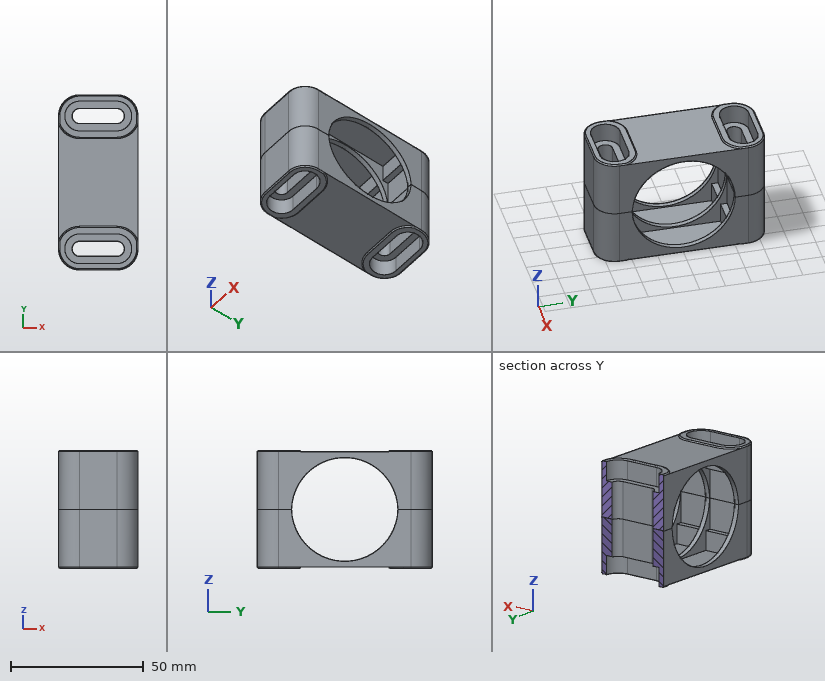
import cadquery as cq

WIDTH = 30.0
LENGTH = 66.0
CORNER_RADIUS = 8.0
HALF_HEIGHT = 21.75

PAD_HEIGHT = 0.5
PAD_BASE_RADIUS = 8.5
PAD_TAPER_ANGLE = 45.0
OUTER_CHAMFER = PAD_HEIGHT

SLOT_Y = LENGTH / 2 - CORNER_RADIUS
STADIUM_SPACING = WIDTH - 2 * CORNER_RADIUS
SLOT_RADIUS = 2.8
RECESS_RADIUS = 5.6
RECESS_DEPTH = 7.5

BORE_RADIUS = 20.0
BORE_SETBACK = 0.5

WALL = 2.0
WEB = 2.0
POCKET_LENGTH = WIDTH / 2 - WALL - WEB / 2
POCKET_HALF_WIDTH = 20.25
POCKET_STEP_HALF_WIDTH = 17.75
POCKET_STEP_Z = 12.25
POCKET_FLOOR_Z = 20.0


def stadium(z, radius):
    """Both bolt slot outlines, long axis along X, on the plane at height z."""
    return (
        cq.Workplane("XY", origin=(0, 0, z))
        .pushPoints([(0, -SLOT_Y), (0, SLOT_Y)])
        .slot2D(STADIUM_SPACING + 2 * radius, 2 * radius)
    )


def rounded_block(height):
    return (
        cq.Workplane("XY")
        .rect(WIDTH, LENGTH)
        .extrude(height)
        .edges("|Z")
        .fillet(CORNER_RADIUS)
    )


def pads():
    """Tapered pads, trimmed to the body outline with a chamfer along its outer edge."""
    tapered = (
        stadium(HALF_HEIGHT, PAD_BASE_RADIUS)
        .extrude(PAD_HEIGHT, taper=PAD_TAPER_ANGLE)
    )
    chamfered_outline = (
        rounded_block(HALF_HEIGHT + PAD_HEIGHT)
        .faces(">Z")
        .chamfer(OUTER_CHAMFER)
    )
    return tapered.intersect(chamfered_outline)


def pockets():
    """Stepped pockets, narrowed towards the floor to clear the bolt recesses."""
    centre_x = (WEB + POCKET_LENGTH) / 2
    centres = [(-centre_x, 0), (centre_x, 0)]
    upper = (
        cq.Workplane("XY")
        .pushPoints(centres)
        .rect(POCKET_LENGTH, 2 * POCKET_HALF_WIDTH)
        .extrude(POCKET_STEP_Z)
    )
    lower = (
        cq.Workplane("XY")
        .pushPoints(centres)
        .rect(POCKET_LENGTH, 2 * POCKET_STEP_HALF_WIDTH)
        .extrude(POCKET_FLOOR_Z)
    )
    return upper.union(lower)


def clamp_half():
    """Upper half of the clamp, standing on the parting plane."""
    top_z = HALF_HEIGHT + PAD_HEIGHT
    bore = (
        cq.Workplane("YZ", origin=(-WIDTH / 2, 0, -BORE_SETBACK))
        .circle(BORE_RADIUS)
        .extrude(WIDTH)
    )
    return (
        rounded_block(HALF_HEIGHT)
        .union(pads())
        .cut(bore)
        .cut(pockets())
        .cut(stadium(0, SLOT_RADIUS).extrude(top_z))
        .cut(stadium(top_z - RECESS_DEPTH, RECESS_RADIUS).extrude(RECESS_DEPTH))
    )


upper_half = clamp_half()
lower_half = upper_half.mirror("XY")

result = cq.Compound.makeCompound([upper_half.val(), lower_half.val()])